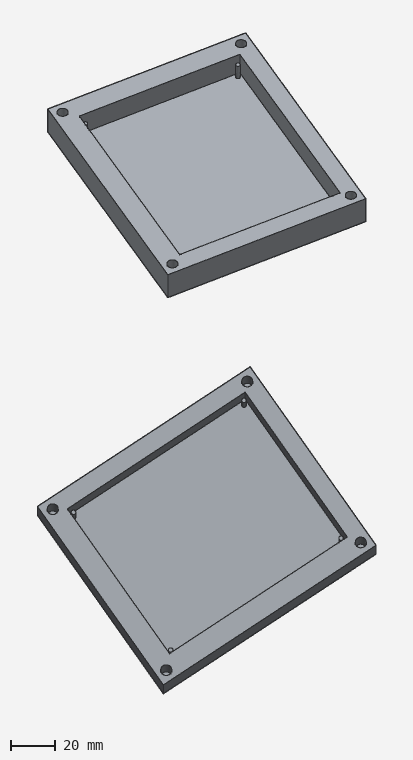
import cadquery as cq

LENGTH = 115.0
WIDTH = 100.0
HEIGHT = 15.0

THICK_WALL = 10.5
THIN_WALL = 8.5
FLOOR = 3.0
POCKET_LENGTH = LENGTH - THICK_WALL - THIN_WALL
POCKET_WIDTH = WIDTH - THICK_WALL - THIN_WALL
POCKET_DEPTH = HEIGHT - FLOOR
POCKET_OFFSET = (THICK_WALL - THIN_WALL) / 2

HOLE_DIAMETER = 5.0
HOLE_INSET = 5.0
HOLE_DEPTH = POCKET_DEPTH

PIN_DIAMETER = 2.1
PIN_HEIGHT = 8.0
PIN_INSET = 2.0


def make_block():
    return cq.Workplane("XY").box(LENGTH, WIDTH, HEIGHT, centered=(True, True, False))


def make_pocket():
    return (
        cq.Workplane("XY", origin=(POCKET_OFFSET, POCKET_OFFSET, FLOOR))
        .rect(POCKET_LENGTH, POCKET_WIDTH)
        .extrude(POCKET_DEPTH)
    )


def make_corner_holes():
    return (
        cq.Workplane("XY", origin=(0, 0, HEIGHT))
        .rect(LENGTH - 2 * HOLE_INSET, WIDTH - 2 * HOLE_INSET, forConstruction=True)
        .vertices()
        .circle(HOLE_DIAMETER / 2)
        .extrude(-HOLE_DEPTH)
    )


def make_pins():
    return (
        cq.Workplane("XY", origin=(POCKET_OFFSET, POCKET_OFFSET, 0))
        .rect(POCKET_LENGTH - 2 * PIN_INSET, POCKET_WIDTH - 2 * PIN_INSET, forConstruction=True)
        .vertices()
        .circle(PIN_DIAMETER / 2)
        .extrude(FLOOR + PIN_HEIGHT)
    )


result = make_block().cut(make_pocket()).cut(make_corner_holes()).union(make_pins())